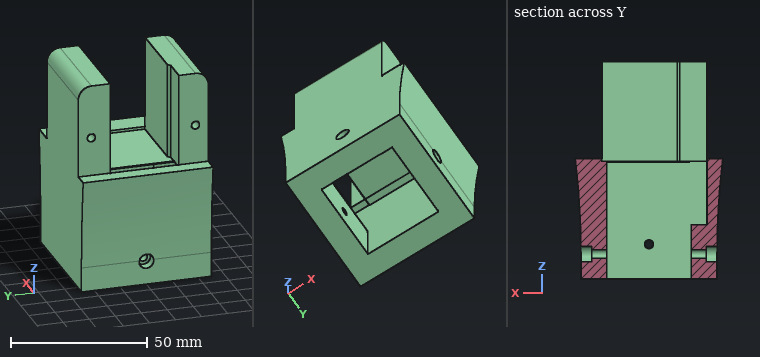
import cadquery as cq

base_side = 50.0
shoulder_length = 54.2
total_height = 79.75
shoulder_z = 44.3
flare_start_z = 9.7

cheek_left_x = -21.2
cheek_right_x = 17.2
cheek_gap = 25.4
cheek_round = 5.0
relief_depth = 0.95
relief_end_x = -10.3

socket_side = 30.95
chamber_floor_z = 19.95
roof_top_z = 43.2
roof_thickness = 0.4
roof_left_x = -14.8

hole_diameter = 3.0
counterbore_diameter = 5.5
counterbore_depth = 4.0
side_screw_z = 9.2
front_screw_z = 12.8
pin_z = 59.2
pin_y = 20.0
pin_depth = 10.0

half_base = base_side / 2
half_shoulder = shoulder_length / 2
half_socket = socket_side / 2
half_gap = cheek_gap / 2


def box(x_range, y_range, z_range):
    """Box between the given low and high limits along each axis."""
    sizes = [high - low for low, high in (x_range, y_range, z_range)]
    corner = (x_range[0], y_range[0], z_range[0])
    return cq.Workplane("XY").box(*sizes, centered=False).translate(corner)


def rod(diameter, start, direction, length):
    """Cylinder from a start point along a direction."""
    return cq.Workplane(
        cq.Solid.makeCylinder(diameter / 2, length, cq.Vector(*start), cq.Vector(*direction))
    )


def counterbored_hole(start, direction, length, counterbore_length):
    """Screw hole with a counterbore at its start point."""
    hole = rod(hole_diameter, start, direction, length)
    return hole.union(rod(counterbore_diameter, start, direction, counterbore_length))


def flared_base():
    """Straight foot whose X sides curve tangentially outward up to the shoulder."""
    flare_height = shoulder_z - flare_start_z
    flare_offset = half_shoulder - half_base
    flare_radius = (flare_height**2 + flare_offset**2) / (2 * flare_offset)
    middle_z = flare_start_z + flare_height / 2
    middle_x = half_base + flare_radius - (flare_radius**2 - (flare_height / 2) ** 2) ** 0.5
    return (
        cq.Workplane("XZ")
        .moveTo(-half_base, 0)
        .lineTo(half_base, 0)
        .lineTo(half_base, flare_start_z)
        .threePointArc((middle_x, middle_z), (half_shoulder, shoulder_z))
        .lineTo(-half_shoulder, shoulder_z)
        .threePointArc((-middle_x, middle_z), (-half_base, flare_start_z))
        .close()
        .extrude(half_base, both=True)
    )


def upper_block():
    """Block above the shoulder, rounded along its two outer top edges."""
    block = box(
        (cheek_left_x, cheek_right_x), (-half_base, half_base), (shoulder_z, total_height)
    )
    return block.edges("|X and >Z").fillet(cheek_round)


def cheek_slot():
    """Gap between the cheeks, with the angled relief on the front cheek."""
    relief_y = -half_gap - relief_depth
    return (
        cq.Workplane("XY")
        .workplane(offset=roof_top_z)
        .moveTo(cheek_left_x, half_gap)
        .lineTo(cheek_right_x, half_gap)
        .lineTo(cheek_right_x, -half_gap)
        .lineTo(relief_end_x, -half_gap)
        .lineTo(relief_end_x - relief_depth, relief_y)
        .lineTo(cheek_left_x, relief_y)
        .close()
        .extrude(total_height - roof_top_z)
    )


def base_cavity():
    """Socket and chamber under the thin roof, with the opening left of the roof edge."""
    socket_span = (-half_socket, half_socket)
    roof_bottom_z = roof_top_z - roof_thickness
    socket = box(socket_span, socket_span, (0, roof_bottom_z))
    chamber = box((cheek_left_x, half_socket), socket_span, (chamber_floor_z, roof_bottom_z))
    opening = box((cheek_left_x, roof_left_x), socket_span, (chamber_floor_z, roof_top_z))
    return socket.union(chamber).union(opening)


body = flared_base().union(upper_block())
body = body.cut(cheek_slot()).cut(base_cavity())

side_counterbore_length = counterbore_depth + half_shoulder - half_base

for side in (-1, 1):
    side_screw = counterbored_hole(
        (side * half_shoulder, 0, side_screw_z), (-side, 0, 0), half_shoulder, side_counterbore_length
    )
    body = body.cut(side_screw)
front_screw = counterbored_hole(
    (0, -half_base, front_screw_z), (0, 1, 0), half_base, counterbore_depth
)
body = body.cut(front_screw)

for side in (-1, 1):
    body = body.cut(rod(hole_diameter, (cheek_left_x, side * pin_y, pin_z), (1, 0, 0), pin_depth))

result = body